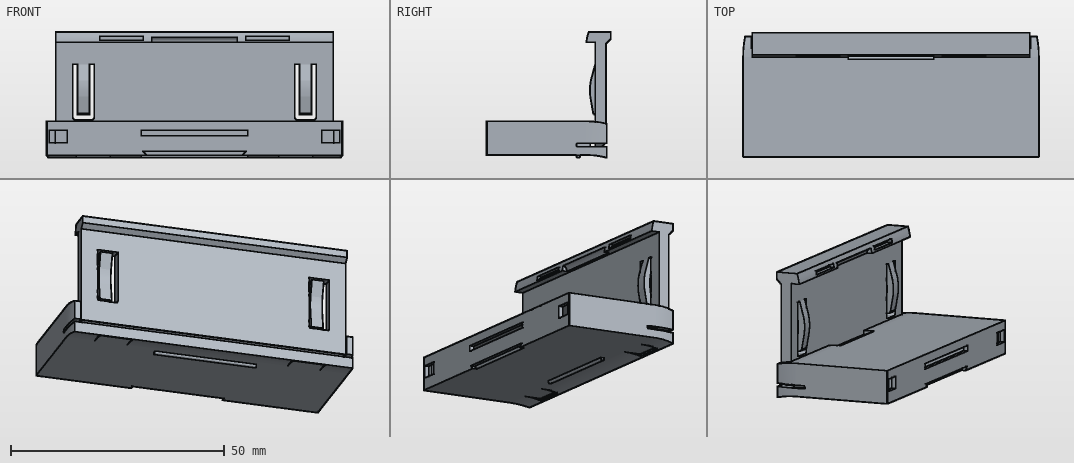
import cadquery as cq

length = 69.4
total_depth = 29.2
total_height = 29.55

box_bottom = 0.66
box_top = 8.6
box_depth = 23.45
flare_depth = 28.3
flare_top = 8.0
flare_half_width = 34.2
front_edge_chamfer = 0.2

shell_wall = 1.05
cavity_half_width = 32.6
cavity_floor = 1.95
cavity_rear = box_depth - 0.4

wall_half_width = 32.55
wall_front = 25.55
wall_rear = 28.1
wall_gap = 0.2
head_bottom = 27.1
head_rear_bottom = 27.8
head_rear_foot = 26.7
head_front_top = 24.0
head_front_middle = 23.7
head_front_bottom = 23.45

slot_bottom = 2.65
slot_top = 3.4
slot_body_rear = 24.4
side_slot_front = 21.1
side_slot_depth = 1.25
wall_foot_upper = 27.8
wall_foot_lower = 27.2
wall_foot_chamfer = slot_top - slot_bottom

notch_width = 20.0
notch_front = 22.9
notch_drop = 1.05
head_notch_radius = 1.25

head_pocket_length = 10.2
head_pocket_centre = 17.1
head_pocket_bottom = 27.55
head_pocket_height = 0.9
head_pocket_rear = 24.85

arm_centre = 26.0
arm_width = 2.9
window_width = 5.0
window_bottom = 8.95
window_top = 21.9
window_fillet = 0.55
arm_thickness = 1.6
arm_bend_top = 18.1
arm_bend_bottom = 14.45
arm_bend_top_front = 24.5
arm_crest_front = 24.3
arm_bend_bottom_front = 24.35
arm_tip_shoulder = 10.5
arm_tip_shoulder_front = 25.05
arm_tip = 10.05
arm_tip_front = 25.5

vent_length = 25.0
vent_bottom = 5.15
vent_height = 1.3
port_inner = 29.8
port_outer = 34.0
port_bottom = 3.55
port_height = 2.9

grip_half_width = 12.1
grip_top = 1.5
grip_depth = 1.05
bead_length = vent_length
bead_diameter = 1.0
bead_y = 21.6
rear_pocket_length = 8.0
rear_pocket_centre = 23.75
rear_pocket_rear = 27.6


def block(x0, x1, y0, y1, z0, z1):
    return cq.Workplane("XY").box(x1 - x0, y1 - y0, z1 - z0, centered=False).translate((x0, y0, z0))


def centred_block(x_centre, width, y0, y1, z0, z1):
    return block(x_centre - width / 2, x_centre + width / 2, y0, y1, z0, z1)


def extrude_along_x(profile, width, x_centre=0):
    """Extrude a closed YZ outline symmetrically about x_centre."""
    return profile.extrude(width).translate((x_centre - width / 2, 0, 0))


def tangent_arc_middle(run, offset):
    """Midpoint of a shallow arc that leaves its start parallel to the run."""
    return run / 2, offset / 4


def make_base():
    run = flare_depth - box_depth
    half_run, top_sag = tangent_arc_middle(run, box_top - flare_top)
    _, bottom_sag = tangent_arc_middle(run, box_bottom)
    _, side_sag = tangent_arc_middle(run, length / 2 - flare_half_width)
    flare_middle = box_depth + half_run
    side = extrude_along_x(
        cq.Workplane("YZ")
        .moveTo(0, box_bottom)
        .lineTo(box_depth, box_bottom)
        .threePointArc((flare_middle, box_bottom - bottom_sag), (flare_depth, 0))
        .lineTo(flare_depth, flare_top)
        .threePointArc((flare_middle, box_top - top_sag), (box_depth, box_top))
        .lineTo(0, box_top)
        .close(),
        length,
    )
    plan = (
        cq.Workplane("XY")
        .moveTo(-length / 2, 0)
        .lineTo(length / 2, 0)
        .lineTo(length / 2, box_depth)
        .threePointArc((length / 2 - side_sag, flare_middle), (flare_half_width, flare_depth))
        .lineTo(-flare_half_width, flare_depth)
        .threePointArc((side_sag - length / 2, flare_middle), (-length / 2, box_depth))
        .close()
        .extrude(box_top)
        .edges("|Z and <Y")
        .chamfer(front_edge_chamfer)
    )
    return side.intersect(plan)


def make_cavity():
    return block(-cavity_half_width, cavity_half_width, shell_wall, cavity_rear,
                 cavity_floor, box_top - shell_wall)


def make_wall_recess():
    """Room for the wall between the rear posts, and the slot beneath the housing's rear edge."""
    half_width = wall_half_width + wall_gap
    seat = block(-half_width, half_width, wall_front, total_depth, slot_bottom, box_top)
    slot = block(-length / 2, length / 2, slot_body_rear, total_depth, slot_bottom, slot_top)
    return seat.union(slot)


def make_side_slot(side):
    end_radius = 0.49 * (slot_top - slot_bottom)
    slot = centred_block(side * length / 2, 2 * side_slot_depth, side_slot_front, total_depth,
                         slot_bottom, slot_top)
    return slot.edges("|X and <Y").fillet(end_radius)


def make_wall():
    blank = extrude_along_x(
        cq.Workplane("YZ")
        .moveTo(wall_front, slot_bottom)
        .lineTo(wall_foot_lower, slot_bottom)
        .lineTo(wall_foot_upper, slot_top)
        .lineTo(wall_rear, slot_top)
        .lineTo(wall_rear, head_rear_foot)
        .lineTo(total_depth, head_rear_bottom)
        .lineTo(total_depth, total_height)
        .lineTo(head_front_top, total_height)
        .threePointArc((head_front_middle, (total_height + head_bottom) / 2),
                       (head_front_bottom, head_bottom))
        .lineTo(wall_front, head_bottom)
        .close(),
        2 * wall_half_width,
    )
    return blank.edges("|Y and <Z").chamfer(wall_foot_chamfer)


def make_spring_window(x_centre):
    window = centred_block(x_centre, window_width, wall_front, wall_rear, window_bottom, window_top)
    return window.edges("|Y and <Z").fillet(window_fillet)


def make_spring_arm(x_centre):
    """Bowed arm hanging from the top of its window, with a free lower tip."""
    bend_middle = (arm_bend_top + arm_bend_bottom) / 2
    return extrude_along_x(
        cq.Workplane("YZ")
        .moveTo(wall_front, window_top)
        .lineTo(arm_bend_top_front, arm_bend_top)
        .threePointArc((arm_crest_front, bend_middle), (arm_bend_bottom_front, arm_bend_bottom))
        .lineTo(arm_tip_shoulder_front, arm_tip_shoulder)
        .lineTo(arm_tip_front, arm_tip)
        .lineTo(arm_tip_shoulder_front + arm_thickness, arm_tip)
        .lineTo(arm_bend_bottom_front + arm_thickness, arm_bend_bottom)
        .threePointArc((arm_crest_front + arm_thickness, bend_middle),
                       (arm_bend_top_front + arm_thickness, arm_bend_top))
        .lineTo(wall_front + arm_thickness, window_top)
        .close(),
        arm_width,
        x_centre,
    )


def make_base_notch():
    """Scoop that falls from the top face and levels out at the wall."""
    half_run, sag = tangent_arc_middle(wall_front - notch_front, notch_drop)
    floor = box_top - notch_drop
    return extrude_along_x(
        cq.Workplane("YZ")
        .moveTo(notch_front, box_top)
        .threePointArc((notch_front + half_run, floor + sag), (wall_front, floor))
        .lineTo(wall_front, box_top)
        .close(),
        notch_width,
    )


def make_head_notch():
    return extrude_along_x(
        cq.Workplane("YZ").center(head_front_bottom, head_bottom).circle(head_notch_radius),
        notch_width,
    )


def make_head_pocket(side):
    return centred_block(side * head_pocket_centre, head_pocket_length, 0, head_pocket_rear,
                         head_pocket_bottom, head_pocket_bottom + head_pocket_height)


def make_port(side):
    """Window into the cavity whose outer part ends at the cavity side wall."""
    return centred_block(side * (port_inner + port_outer) / 2, port_outer - port_inner,
                         0, shell_wall, port_bottom, port_bottom + port_height)


def make_vent():
    return centred_block(0, vent_length, 0, shell_wall, vent_bottom, vent_bottom + vent_height)


def make_grip():
    """Dovetail recess under the front edge, narrower at the bottom face."""
    narrow_half_width = grip_half_width - (grip_top - box_bottom)
    return (
        cq.Workplane("XZ")
        .polyline([
            (-narrow_half_width, box_bottom),
            (narrow_half_width, box_bottom),
            (grip_half_width, grip_top),
            (-grip_half_width, grip_top),
        ])
        .close()
        .extrude(-grip_depth)
    )


def make_bead():
    radius = bead_diameter / 2
    bar = extrude_along_x(cq.Workplane("YZ").center(bead_y, radius).circle(radius), bead_length)
    root = centred_block(0, bead_length, bead_y - radius, bead_y + radius, radius, box_bottom)
    return bar.union(root)


def make_rear_pocket(side):
    return centred_block(side * rear_pocket_centre, rear_pocket_length, box_depth, rear_pocket_rear,
                         0, box_bottom)


base = make_base().cut(make_cavity()).cut(make_wall_recess()).cut(make_vent()).cut(make_grip())
base = base.cut(make_base_notch()).union(make_bead())
wall = make_wall().cut(make_head_notch())

for side in (-1, 1):
    base = base.cut(make_side_slot(side)).cut(make_port(side)).cut(make_rear_pocket(side))
    wall = wall.cut(make_spring_window(side * arm_centre)).cut(make_head_pocket(side))
    wall = wall.union(make_spring_arm(side * arm_centre))

result = base.union(wall)